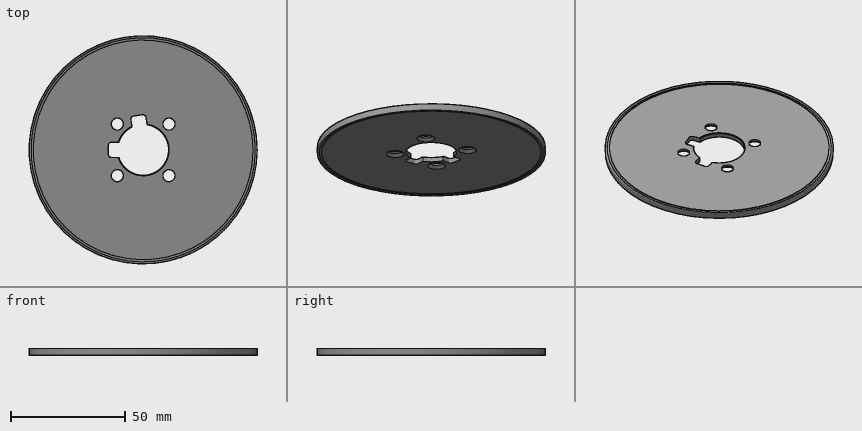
import cadquery as cq

OUTER_DIAMETER = 100.0
RIM_THICKNESS = 3.0

DISC_DIAMETER = 98.2
DISC_THICKNESS = 2.2
BORE_DIAMETER = 22.2
BORE_CHAMFER = 0.3

KEYWAY_WIDTH = 6.6
KEYWAY_REACH = 15.2
KEYWAY_CORNER_RADIUS = 1.3
KEYWAY_ANGLES = (180.0, 98.5)

HOLE_DIAMETER = 5.2
HOLE_SPACING = 22.6
COUNTERSINK_DIAMETER = 7.8
COUNTERSINK_ANGLE = 90.0

LIP_INNER_DIAMETER = 96.2
LIP_THICKNESS = 2.7
RIM_EDGE_RADIUS = 0.2


def make_plate(diameter):
    """Solid round plate as thick as the disc and centred on the origin."""
    return cq.Workplane("XY").cylinder(DISC_THICKNESS, diameter / 2)


def make_keyway(angle):
    """Rounded slot cutter running from the disc axis outwards at the given angle."""
    return (
        cq.Workplane("XY")
        .box(KEYWAY_REACH, KEYWAY_WIDTH, DISC_THICKNESS, centered=(False, True, True))
        .edges("|Z and >X")
        .fillet(KEYWAY_CORNER_RADIUS)
        .rotate((0, 0, 0), (0, 0, 1), angle)
    )


def make_disc():
    """Flat disc with a chamfered bore, keyways and countersunk screw holes."""
    disc = make_plate(DISC_DIAMETER).cut(make_plate(BORE_DIAMETER))
    disc = disc.faces(">Z").edges(cq.selectors.RadiusNthSelector(0)).chamfer(BORE_CHAMFER)

    for angle in KEYWAY_ANGLES:
        disc = disc.cut(make_keyway(angle))

    return (
        disc.faces("<Z")
        .workplane(origin=(0, 0, 0))
        .rect(HOLE_SPACING, HOLE_SPACING, forConstruction=True)
        .vertices()
        .cskHole(HOLE_DIAMETER, COUNTERSINK_DIAMETER, COUNTERSINK_ANGLE)
    )


def make_rim():
    """Ring around the disc edge, thickening outwards from the lips to a rounded edge."""
    outer_radius = OUTER_DIAMETER / 2
    lip_radius = LIP_INNER_DIAMETER / 2
    shoulder_radius = outer_radius - RIM_EDGE_RADIUS
    half_lip = LIP_THICKNESS / 2
    half_rim = RIM_THICKNESS / 2
    edge_height = half_rim - RIM_EDGE_RADIUS

    envelope = (
        cq.Workplane("XZ")
        .moveTo(lip_radius, -half_lip)
        .lineTo(shoulder_radius, -half_rim)
        .radiusArc((outer_radius, -edge_height), -RIM_EDGE_RADIUS)
        .lineTo(outer_radius, edge_height)
        .radiusArc((shoulder_radius, half_rim), -RIM_EDGE_RADIUS)
        .lineTo(lip_radius, half_lip)
        .close()
        .revolve(360, (0, 0, 0), (0, 1, 0))
    )
    return envelope.cut(make_plate(DISC_DIAMETER))


disc = make_disc()
rim = make_rim()

result = cq.Compound.makeCompound([disc.val(), rim.val()])